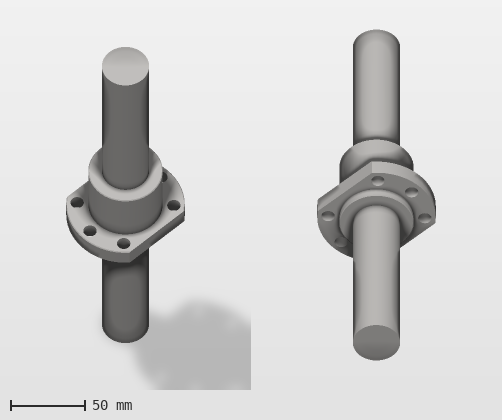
import cadquery as cq

shaft_length = 300.0
shaft_diameter = 31.8

barrel_diameter = 50.0
barrel_length = 57.0
barrel_bottom = -barrel_length / 2

flange_diameter = 79.8
flange_width = 62.0
flange_thickness = 12.0
flange_bottom = barrel_bottom + 6.0

edge_chamfer = 0.5

bolt_circle_diameter = 65.0
bolt_hole_diameter = 9.0
bolt_angles = [side + step for side in (90, 270) for step in (-45, 0, 45)]


def make_shaft():
    return cq.Workplane("XY").circle(shaft_diameter / 2).extrude(shaft_length / 2, both=True)


def make_barrel():
    barrel = cq.Workplane("XY").workplane(offset=barrel_bottom)
    barrel = barrel.circle(barrel_diameter / 2).extrude(barrel_length)
    return barrel.faces("<Z or >Z").edges().chamfer(edge_chamfer)


def make_flange():
    base = cq.Workplane("XY").workplane(offset=flange_bottom)
    disc = base.circle(flange_diameter / 2).extrude(flange_thickness)
    disc = disc.faces(">Z").edges().chamfer(edge_chamfer)
    flats = base.rect(flange_width, flange_diameter).extrude(flange_thickness)
    return disc.intersect(flats)


def make_bolt_hole(angle):
    hole = cq.Workplane("XY").workplane(offset=flange_bottom).center(bolt_circle_diameter / 2, 0)
    hole = hole.circle(bolt_hole_diameter / 2).extrude(flange_thickness)
    return hole.rotate((0, 0, 0), (0, 0, 1), angle)


def make_nut():
    nut = make_barrel().union(make_flange())
    for angle in bolt_angles:
        nut = nut.cut(make_bolt_hole(angle))
    return nut.cut(make_shaft())


shaft = make_shaft()
nut = make_nut()

result = cq.Compound.makeCompound([shaft.solids().val(), nut.solids().val()])